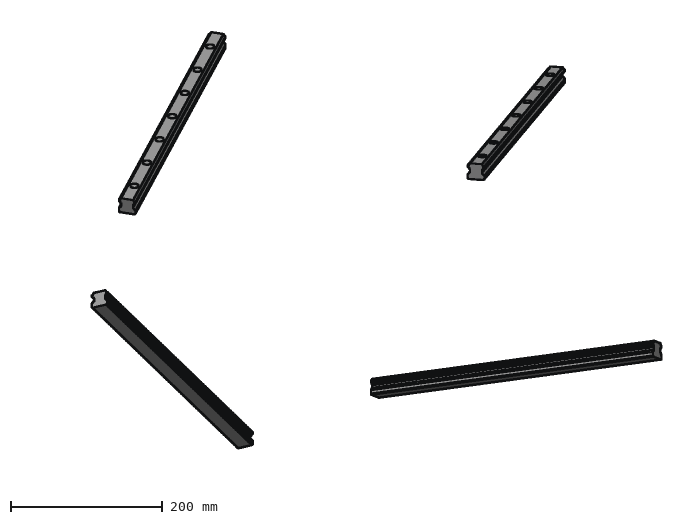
import cadquery as cq

rail_length = 430.0
rail_width = 23.0
rail_height = 22.0

bevel_width = 1.5
bevel_height = 2.45
upper_track_width = 1.85
upper_track_height = 0.77
head_land_bottom = 17.0
track_sag = 0.25

shoulder_inset = 2.0
shoulder_top = 15.0
shoulder_bottom = 14.5
neck_inset = 3.35
neck_top = 13.5
neck_bottom = 10.0
foot_top = 6.0
base_chamfer = 1.38

half_width = rail_width / 2
bevel_half_width = half_width - upper_track_width
top_half_width = bevel_half_width - bevel_width
bevel_bottom = rail_height - bevel_height
head_land_top = bevel_bottom - upper_track_height
shoulder_half_width = half_width - shoulder_inset
neck_half_width = half_width - neck_inset

hole_count = 7
end_margin = 35.0
hole_pitch = (rail_length - 2 * end_margin) / (hole_count - 1)
hole_diameter = 10.8
hole_depth = 0.2


def half_section():
    """Right half of the waisted rail outline, closed along the centre plane."""
    return (
        cq.Workplane("XZ")
        .lineTo(half_width - base_chamfer, 0)
        .lineTo(half_width, base_chamfer)
        .lineTo(half_width, foot_top)
        .lineTo(neck_half_width, neck_bottom)
        .lineTo(neck_half_width, neck_top)
        .lineTo(shoulder_half_width, shoulder_bottom)
        .lineTo(shoulder_half_width, shoulder_top)
        .sagittaArc((half_width, head_land_bottom), track_sag)
        .lineTo(half_width, head_land_top)
        .sagittaArc((bevel_half_width, bevel_bottom), track_sag)
        .lineTo(top_half_width, rail_height)
        .lineTo(0, rail_height)
        .close()
    )


def mounting_recesses():
    """Shallow discs sunk from the top face, evenly spaced along the rail."""
    return (
        cq.Workplane("XY", origin=(0, 0, rail_height))
        .rarray(4.5, hole_pitch, 1, hole_count)
        .circle(hole_diameter / 2)
        .extrude(-hole_depth)
    )


half_rail = half_section().extrude(rail_length / 2, both=True)
rail = half_rail.union(half_rail.mirror("YZ")).clean()
result = rail.cut(mounting_recesses())